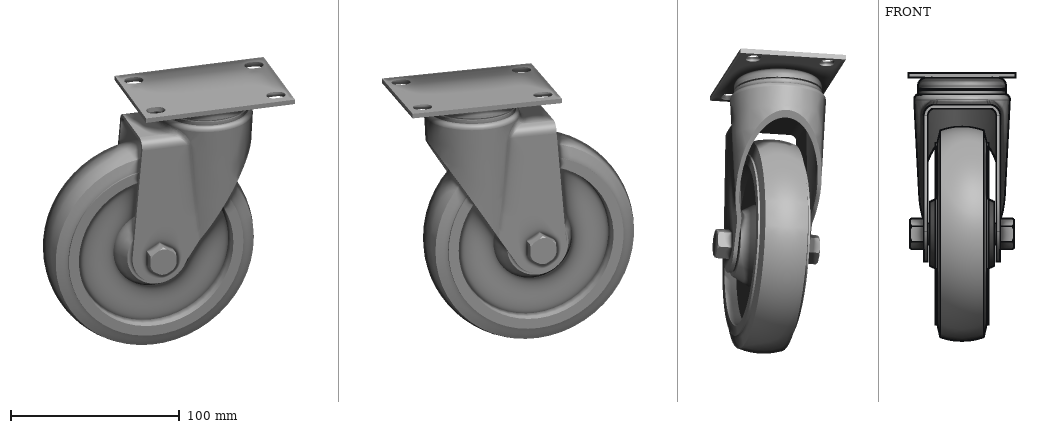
import cadquery as cq
import math


wheel_radius = 63.5
tread_edge_radius = 61.3
tread_half_width = 12.9
rim_radius = 54.0
rim_half_width = 15.7
tyre_base_half_width = 14.6
recess_mouth_radius = 47.8
recess_floor_radius = 46.7
web_half_width = 8.9
hub_base_radius = 24.3
hub_end_radius = 18.9
hub_half_width = 19.2

axle_diameter = 12.7
bolt_head_flats = 15.9
bolt_head_length = 8.3
bolt_head_chamfer = 1.0

overall_height = 158.8
plate_width = 63.5
plate_length = 92.0
plate_thickness = 2.9
slot_width = 8.5
slot_length = 11.5
slot_spacing_x = 44.5
slot_spacing_y = 74.3

cup_radius = 52.2 / 2
neck_radius = 48.5 / 2
cup_rounding = 5.0
cup_height = 6.5
neck_height = 1.1
ring_height = 2.0

axle_y = -35.0
sheet = 2.4
fork_half_width = 22.5
fork_drop = 18.9
fork_bend_radius = 6.2
leg_radius = 16.7
leg_front_reach = 10.6
rear_break_drop = 30.2
rear_break_y = 27.8
bell_radius = 28.4
bell_taper = 3.0
bell_rounding = 3.3
bell_fillet = 3.2

top_z = overall_height - wheel_radius
plate_bottom_z = top_z - plate_thickness
cup_bottom_z = plate_bottom_z - cup_height
ring_top_z = cup_bottom_z - neck_height
bell_top_z = ring_top_z - ring_height
bell_edge_z = bell_top_z - bell_rounding
fork_top_z = top_z - fork_drop
leg_bottom_z = -leg_radius
rear_break_z = top_z - rear_break_drop
front_y = axle_y - leg_front_reach
channel_front_y = axle_y - leg_radius - sheet
outline_reach = bell_radius + 1.6


def bell_radius_at(z):
    """Outer radius of the tapered bell at height z below its rounded shoulder."""
    return bell_radius - (bell_edge_z - z) * math.tan(math.radians(bell_taper))


def leg_tangent_point(y, z, side):
    """Point where a line from (y, z) touches the round leg end; side is +1 or -1 in Y."""
    dy = y - axle_y
    angle = math.atan2(z, dy) - side * math.acos(leg_radius / math.hypot(dy, z))
    return axle_y + leg_radius * math.cos(angle), leg_radius * math.sin(angle)


def make_bell():
    """Round bell: a rounded shoulder over a slightly tapered skirt."""
    shoulder_start = bell_radius - bell_rounding
    diagonal = bell_rounding * math.sqrt(0.5)
    return (
        cq.Workplane("XZ")
        .moveTo(0, bell_top_z)
        .lineTo(shoulder_start, bell_top_z)
        .threePointArc(
            (shoulder_start + diagonal, bell_edge_z + diagonal),
            (bell_radius, bell_edge_z),
        )
        .lineTo(bell_radius_at(leg_bottom_z), leg_bottom_z)
        .lineTo(0, leg_bottom_z)
        .close()
        .revolve(360, (0, 0), (0, 1))
    )


def make_channel(half_width, z_top, bend_radius, y_front):
    """Upside-down U block with rounded top edges, from y_front back to the swivel axis."""
    return (
        cq.Workplane("XY", origin=(0, 0, leg_bottom_z))
        .rect(2 * half_width, 2 * abs(y_front))
        .extrude(z_top - leg_bottom_z)
        .edges(">Z and |Y")
        .fillet(bend_radius)
        .intersect(
            cq.Workplane("XY", origin=(0, y_front / 2, leg_bottom_z))
            .rect(4 * half_width, abs(y_front))
            .extrude(z_top - leg_bottom_z)
        )
    )


def make_side_outline():
    """Fork outline across X: round leg end, tangent front edge and tangent sloping rear edge."""
    bend_end_z = fork_top_z - fork_bend_radius
    front_tangent = leg_tangent_point(front_y, bend_end_z, -1)
    rear_tangent = leg_tangent_point(rear_break_y, rear_break_z, 1)
    rear_slope = (rear_break_z - rear_tangent[1]) / (rear_break_y - rear_tangent[0])
    rear_limit_z = rear_tangent[1] + rear_slope * (outline_reach - rear_tangent[0])
    return (
        cq.Workplane("YZ", origin=(-outline_reach, 0, 0))
        .moveTo(*front_tangent)
        .threePointArc((axle_y, leg_bottom_z), rear_tangent)
        .lineTo(outline_reach, rear_limit_z)
        .lineTo(outline_reach, top_z)
        .lineTo(front_y, top_z)
        .lineTo(front_y, bend_end_z)
        .close()
        .extrude(2 * outline_reach)
    )


def make_fork_cavity():
    """Space inside the sheet-metal fork: channel between the legs and hollow of the bell."""
    ceiling_z = fork_top_z - sheet
    channel = make_channel(
        fork_half_width - sheet, ceiling_z, fork_bend_radius - sheet, channel_front_y
    )
    hollow = (
        cq.Workplane("XZ")
        .moveTo(0, ceiling_z)
        .lineTo(bell_radius_at(ceiling_z) - sheet, ceiling_z)
        .lineTo(bell_radius_at(leg_bottom_z) - sheet, leg_bottom_z)
        .lineTo(0, leg_bottom_z)
        .close()
        .revolve(360, (0, 0), (0, 1))
    )
    return channel.union(hollow)


def make_fork():
    """Bell and channel blended together, trimmed to the side outline and hollowed."""
    channel = make_channel(fork_half_width, fork_top_z, fork_bend_radius, channel_front_y)
    blank = make_bell().union(channel)
    margin = 0.2
    seam_box = cq.selectors.BoxSelector(
        (-fork_half_width - margin, -bell_radius - margin, leg_bottom_z + margin),
        (fork_half_width + margin, -margin, fork_top_z + margin),
    )
    blank = blank.edges(seam_box).fillet(bell_fillet)
    return blank.intersect(make_side_outline()).cut(make_fork_cavity())


def make_swivel():
    """Rounded upper cup, narrow neck and lower ring between the plate and the bell."""
    diagonal = cup_rounding * math.sqrt(0.5)
    rounding_r = cup_radius - cup_rounding
    rounding_z = plate_bottom_z - cup_rounding
    return (
        cq.Workplane("XZ")
        .moveTo(0, plate_bottom_z)
        .lineTo(rounding_r, plate_bottom_z)
        .threePointArc((rounding_r + diagonal, rounding_z + diagonal), (cup_radius, rounding_z))
        .lineTo(cup_radius, cup_bottom_z)
        .lineTo(neck_radius, cup_bottom_z)
        .lineTo(neck_radius, ring_top_z)
        .lineTo(cup_radius, ring_top_z)
        .lineTo(cup_radius, bell_edge_z)
        .lineTo(0, bell_edge_z)
        .close()
        .revolve(360, (0, 0), (0, 1))
    )


def make_plate():
    """Mounting plate with four slots."""
    return (
        cq.Workplane("XY", origin=(0, 0, plate_bottom_z))
        .rect(plate_width, plate_length)
        .extrude(plate_thickness)
        .faces(">Z")
        .workplane()
        .rect(slot_spacing_x, slot_spacing_y, forConstruction=True)
        .vertices()
        .slot2D(slot_length, slot_width, 90)
        .cutThruAll()
    )


def make_axle():
    """Axle shaft with a hexagon head outside each leg, the head corners turned down."""
    end_x = fork_half_width + bolt_head_length
    corner_diameter = bolt_head_flats / math.cos(math.pi / 6)
    hexagon_bar = (
        cq.Workplane("YZ", origin=(-end_x, axle_y, 0))
        .transformed(rotate=(0, 0, 90))
        .polygon(6, corner_diameter)
        .extrude(2 * end_x)
    )
    turned_bar = (
        cq.Workplane("YZ", origin=(-end_x, axle_y, 0))
        .circle(corner_diameter / 2)
        .extrude(2 * end_x)
        .faces("<X or >X")
        .chamfer(bolt_head_chamfer)
    )
    between_heads = (
        cq.Workplane("YZ", origin=(-fork_half_width, axle_y, 0))
        .circle(corner_diameter)
        .extrude(2 * fork_half_width)
    )
    shaft = (
        cq.Workplane("YZ", origin=(-fork_half_width, axle_y, 0))
        .circle(axle_diameter / 2)
        .extrude(2 * fork_half_width)
    )
    return hexagon_bar.intersect(turned_bar).cut(between_heads).union(shaft)


def make_frame():
    """Plate, swivel, fork and the axle bolted through the fork, as one solid."""
    return make_fork().union(make_swivel()).union(make_plate()).union(make_axle())


def make_wheel():
    """Crowned wheel with a recessed web and a conical hub on each side, bored for the axle."""
    bore = axle_diameter / 2
    side = [
        (tyre_base_half_width, rim_radius),
        (rim_half_width, rim_radius),
        (rim_half_width, recess_mouth_radius),
        (web_half_width, recess_floor_radius),
        (web_half_width, hub_base_radius),
        (hub_half_width, hub_end_radius),
        (hub_half_width, bore),
    ]
    opposite_side = [(-x, r) for x, r in reversed(side)]
    return (
        cq.Workplane("XY")
        .moveTo(-tread_half_width, tread_edge_radius)
        .threePointArc((0, wheel_radius), (tread_half_width, tread_edge_radius))
        .polyline(side + opposite_side, includeCurrent=True)
        .close()
        .revolve(360, (0, 0), (1, 0))
        .translate((0, axle_y, 0))
    )


frame = make_frame()
wheel = make_wheel()
result = cq.Compound.makeCompound([*frame.solids().vals(), wheel.val()])